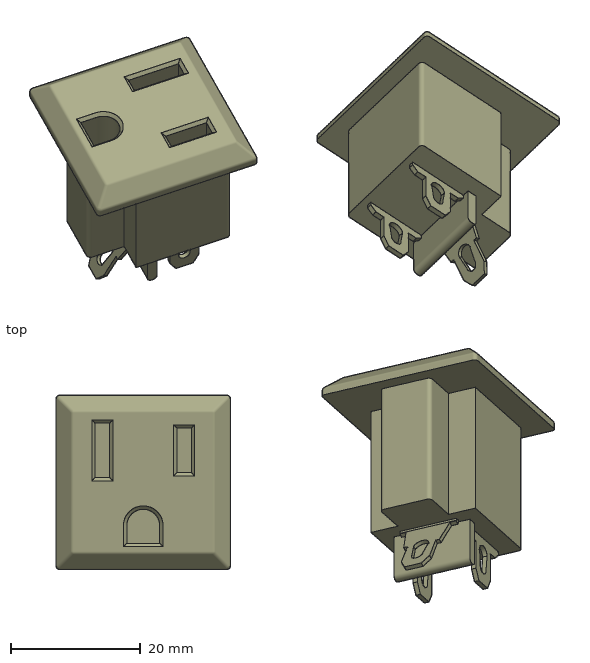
import cadquery as cq
import math


OVERALL_HEIGHT = 34.3

PLATE_SIZE = 26.92
PLATE_HEIGHT = 3.7
PLATE_BEVEL = 2.5
PLATE_ROUND = 0.62

BODY_DEPTH = 20.95
BODY_WIDTH = 18.07
BODY_BACK_Y = 10.85
NOSE_WIDTH = 8.78
NOSE_ROOT_Y = -5.1
NOSE_FRONT_Y = -11.18
BODY_ROUND = 0.7

RIB_WIDTH = 13.17
RIB_THICKNESS = 1.65
RIB_BACK_Y = -0.5
RIB_DROP = 7.37
RIB_ROUND = 0.75

SOCKET_DEPTH = 17.15
SOCKET_CHAMFER = 0.5
BLADE_SPACING = 12.62
BLADE_CENTER_Y = 4.95
BLADE_SLOT_WIDTH = 2.23
LONG_SLOT_LENGTH = 8.35
SHORT_SLOT_LENGTH = 6.85
GROUND_HOLE_RADIUS = 2.55
GROUND_ARC_Y = -6.7
GROUND_FLAT_Y = -9.4

TAIL_WIDTH = 4.9
TIP_WIDTH = 2.9
TIP_LENGTH = 1.7
EYE_TOP_RADIUS = 1.3
EYE_BOTTOM_RADIUS = 0.95
EYE_CENTER_DISTANCE = 2.47
EYE_TIP_MARGIN = 1.92

BLADE_LUG_THICKNESS = 0.8
BLADE_LUG_SPACING = 10.15
BLADE_LUG_LENGTH = 8.0
BLADE_SHOULDER_WIDTH = 10.15
BLADE_SHOULDER_DROP = 1.58
BLADE_SHOULDER_CHAMFER_Y = 1.03
BLADE_SHOULDER_CHAMFER_Z = 0.93

GROUND_LUG_THICKNESS = 0.65
GROUND_FRONT_Y = -3.4
GROUND_TAB_WIDTH = 9.75
GROUND_BEND_DROP = 0.35
GROUND_TAB_OVERRUN = 0.17
GROUND_BEND_ANGLE = math.radians(30)
GROUND_TAPER_TOP_WIDTH = 7.6
GROUND_TAPER_END_WIDTH = 6.17
GROUND_TAPER_LENGTH = 4.35

BODY_BOTTOM_Z = -BODY_DEPTH


def make_plate():
    plate = cq.Workplane("XY").box(PLATE_SIZE, PLATE_SIZE, PLATE_HEIGHT, centered=(True, True, False))
    plate = plate.faces(">Z").chamfer(PLATE_BEVEL)
    return plate.edges("not <Z").fillet(PLATE_ROUND)


def make_body():
    wide_length = BODY_BACK_Y - NOSE_ROOT_Y
    nose_length = NOSE_ROOT_Y - NOSE_FRONT_Y
    wide = (
        cq.Workplane("XY")
        .center(0, NOSE_ROOT_Y + wide_length / 2)
        .rect(BODY_WIDTH, wide_length)
        .extrude(BODY_BOTTOM_Z)
        .edges("|Z and >Y")
        .fillet(BODY_ROUND)
    )
    nose = (
        cq.Workplane("XY")
        .center(0, NOSE_FRONT_Y + nose_length / 2)
        .rect(NOSE_WIDTH, nose_length)
        .extrude(BODY_BOTTOM_Z)
        .edges("|Z and <Y")
        .fillet(BODY_ROUND)
    )
    return wide.union(nose)


def make_rib():
    return (
        cq.Workplane("XY", origin=(0, RIB_BACK_Y - RIB_THICKNESS / 2, BODY_BOTTOM_Z))
        .rect(RIB_WIDTH, RIB_THICKNESS)
        .extrude(-RIB_DROP)
        .edges("|X and <Z")
        .fillet(RIB_ROUND)
    )


def blade_socket(center_x, length):
    return (
        cq.Workplane("XY", origin=(center_x, BLADE_CENTER_Y, PLATE_HEIGHT))
        .rect(BLADE_SLOT_WIDTH, length)
        .extrude(-SOCKET_DEPTH)
    )


def ground_socket():
    return (
        cq.Workplane("XY", origin=(0, 0, PLATE_HEIGHT))
        .moveTo(-GROUND_HOLE_RADIUS, GROUND_FLAT_Y)
        .lineTo(GROUND_HOLE_RADIUS, GROUND_FLAT_Y)
        .lineTo(GROUND_HOLE_RADIUS, GROUND_ARC_Y)
        .threePointArc((0, GROUND_ARC_Y + GROUND_HOLE_RADIUS), (-GROUND_HOLE_RADIUS, GROUND_ARC_Y))
        .close()
        .extrude(-SOCKET_DEPTH)
    )


def make_housing():
    housing = make_plate().union(make_body()).union(make_rib())
    housing = housing.cut(blade_socket(-BLADE_SPACING / 2, LONG_SLOT_LENGTH))
    housing = housing.cut(blade_socket(BLADE_SPACING / 2, SHORT_SLOT_LENGTH))
    housing = housing.cut(ground_socket())
    mouth_edges = [edge for wire in housing.faces(">Z").val().innerWires() for edge in wire.Edges()]
    return housing.newObject(mouth_edges).chamfer(SOCKET_CHAMFER)


def symmetric_outline(plane, right_side):
    """Closed outline from its right-hand points, mirrored about the local y axis."""
    left_side = [(-x, y) for x, y in reversed(right_side)]
    return plane.polyline(right_side + left_side).close()


def tail_points(length):
    """Right-hand points of a tapered solder tail whose tip lies at local y = -length."""
    return [
        (TAIL_WIDTH / 2, -length + TIP_LENGTH),
        (TIP_WIDTH / 2, -length),
    ]


def eye_cutter(plane, length, thickness):
    """Teardrop eye: two circles, the larger one on top, joined by their common tangents."""
    bottom_y = -length + EYE_TIP_MARGIN + EYE_BOTTOM_RADIUS
    top_y = bottom_y + EYE_CENTER_DISTANCE
    rise = (EYE_TOP_RADIUS - EYE_BOTTOM_RADIUS) / EYE_CENTER_DISTANCE
    run = math.sqrt(1 - rise**2)
    top_x = EYE_TOP_RADIUS * run
    top_tangent_y = top_y + EYE_TOP_RADIUS * rise
    bottom_x = EYE_BOTTOM_RADIUS * run
    bottom_tangent_y = bottom_y + EYE_BOTTOM_RADIUS * rise
    return (
        plane.moveTo(top_x, top_tangent_y)
        .threePointArc((0, top_y + EYE_TOP_RADIUS), (-top_x, top_tangent_y))
        .lineTo(-bottom_x, bottom_tangent_y)
        .threePointArc((0, bottom_y - EYE_BOTTOM_RADIUS), (bottom_x, bottom_tangent_y))
        .close()
        .extrude(thickness)
    )


def make_blade_terminal(center_x):
    """Flat terminal in a YZ plane, standing on the body underside."""
    center_y = RIB_BACK_Y + BLADE_SHOULDER_WIDTH / 2
    plane = cq.Workplane("YZ", origin=(center_x - BLADE_LUG_THICKNESS / 2, center_y, BODY_BOTTOM_Z))
    half_shoulder = BLADE_SHOULDER_WIDTH / 2
    right_side = [
        (half_shoulder, 0),
        (half_shoulder, -BLADE_SHOULDER_DROP + BLADE_SHOULDER_CHAMFER_Z),
        (half_shoulder - BLADE_SHOULDER_CHAMFER_Y, -BLADE_SHOULDER_DROP),
        (TAIL_WIDTH / 2, -BLADE_SHOULDER_DROP),
    ] + tail_points(BLADE_LUG_LENGTH)
    lug = symmetric_outline(plane, right_side).extrude(BLADE_LUG_THICKNESS)
    return lug.cut(eye_cutter(plane, BLADE_LUG_LENGTH, BLADE_LUG_THICKNESS))


def make_ground_terminal():
    """Upright tab below the body, with a solder tail bent out towards -Y."""
    thickness = GROUND_LUG_THICKNESS
    sin_bend = math.sin(GROUND_BEND_ANGLE)
    cos_bend = math.cos(GROUND_BEND_ANGLE)
    bend_z = BODY_BOTTOM_Z - GROUND_BEND_DROP
    back_y = GROUND_FRONT_Y + thickness

    end_front_y = GROUND_FRONT_Y - GROUND_TAB_OVERRUN * sin_bend
    end_front_z = bend_z - GROUND_TAB_OVERRUN * cos_bend
    end_back_y = end_front_y + thickness * cos_bend
    end_back_z = end_front_z - thickness * sin_bend
    fold_z = end_back_z + (back_y - end_back_y) / math.tan(GROUND_BEND_ANGLE)
    tab = (
        cq.Workplane("YZ")
        .polyline([
            (GROUND_FRONT_Y, BODY_BOTTOM_Z),
            (GROUND_FRONT_Y, bend_z),
            (end_front_y, end_front_z),
            (end_back_y, end_back_z),
            (back_y, fold_z),
            (back_y, BODY_BOTTOM_Z),
        ])
        .close()
        .extrude(GROUND_TAB_WIDTH / 2, both=True)
    )

    lowest_z = PLATE_HEIGHT - OVERALL_HEIGHT
    tail_length = (end_back_z - lowest_z) / cos_bend
    plane = cq.Workplane(cq.Plane(
        origin=(0, end_back_y, end_back_z),
        xDir=(1, 0, 0),
        normal=(0, -cos_bend, sin_bend),
    ))
    right_side = [
        (GROUND_TAPER_TOP_WIDTH / 2, 0),
        (GROUND_TAPER_END_WIDTH / 2, -GROUND_TAPER_LENGTH),
        (TAIL_WIDTH / 2, -GROUND_TAPER_LENGTH),
    ] + tail_points(tail_length)
    tail = symmetric_outline(plane, right_side).extrude(thickness)
    tail = tail.cut(eye_cutter(plane, tail_length, thickness))
    return tab.union(tail)


housing = make_housing()
blade_terminals = [make_blade_terminal(side * BLADE_LUG_SPACING / 2) for side in (-1, 1)]
ground_terminal = make_ground_terminal()

result = cq.Compound.makeCompound([
    housing.val(),
    *[terminal.val() for terminal in blade_terminals],
    ground_terminal.val(),
])